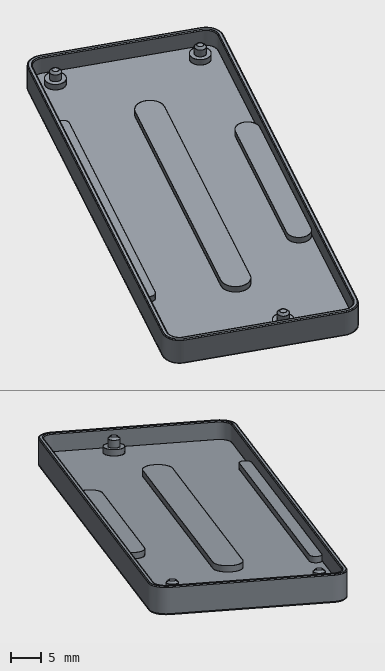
import cadquery as cq

length = 84.2
width = 33.6
height = 5.0
corner_radius = 2.95
wall = 0.8
floor = 1.8
bottom_chamfer = 0.25
rim_chamfer = 0.2

boss_diameter = 3.6
boss_height = 1.1
pin_diameter = 2.0
pin_height = 1.8
pin_chamfer = 0.4
left_post_x = -37.8
left_post_y = 12.5
right_post_x = 38.5
right_post_y = 4.2
post_centers = [
    (left_post_x, left_post_y),
    (left_post_x, -left_post_y),
    (right_post_x, right_post_y),
]

pad_height = 1.1
center_pad_length = 54.9
center_pad_width = 5.05
back_pad_length = 34.0
back_pad_width = 4.2
front_pad_length = 52.0
front_pad_width = 2.1
inner_wall_y = width / 2 - wall


def make_tray():
    body = (
        cq.Workplane("XY")
        .rect(length, width)
        .extrude(height)
        .edges("|Z")
        .fillet(corner_radius)
        .faces("<Z")
        .chamfer(bottom_chamfer)
    )
    cavity = (
        cq.Workplane("XY", origin=(0, 0, floor))
        .rect(length - 2 * wall, width - 2 * wall)
        .extrude(height - floor)
        .edges("|Z")
        .fillet(corner_radius - wall)
    )
    return body.cut(cavity).faces(">Z").chamfer(rim_chamfer)


def make_pad(pad_length, pad_width, center_y):
    return (
        cq.Workplane("XY", origin=(0, center_y, bottom_chamfer))
        .slot2D(pad_length, pad_width)
        .extrude(floor + pad_height - bottom_chamfer)
    )


def make_post(x, y):
    boss_top = floor + boss_height
    boss = (
        cq.Workplane("XY", origin=(x, y, bottom_chamfer))
        .circle(boss_diameter / 2)
        .extrude(boss_top - bottom_chamfer)
    )
    pin = (
        cq.Workplane("XY", origin=(x, y, boss_top))
        .circle(pin_diameter / 2)
        .extrude(pin_height)
        .faces(">Z")
        .chamfer(pin_chamfer)
    )
    return boss.union(pin)


result = make_tray()
result = result.union(make_pad(center_pad_length, center_pad_width, 0))
result = result.union(make_pad(back_pad_length, back_pad_width, inner_wall_y - back_pad_width / 2))
result = result.union(make_pad(front_pad_length, front_pad_width, front_pad_width / 2 - inner_wall_y))
for post_x, post_y in post_centers:
    result = result.union(make_post(post_x, post_y))